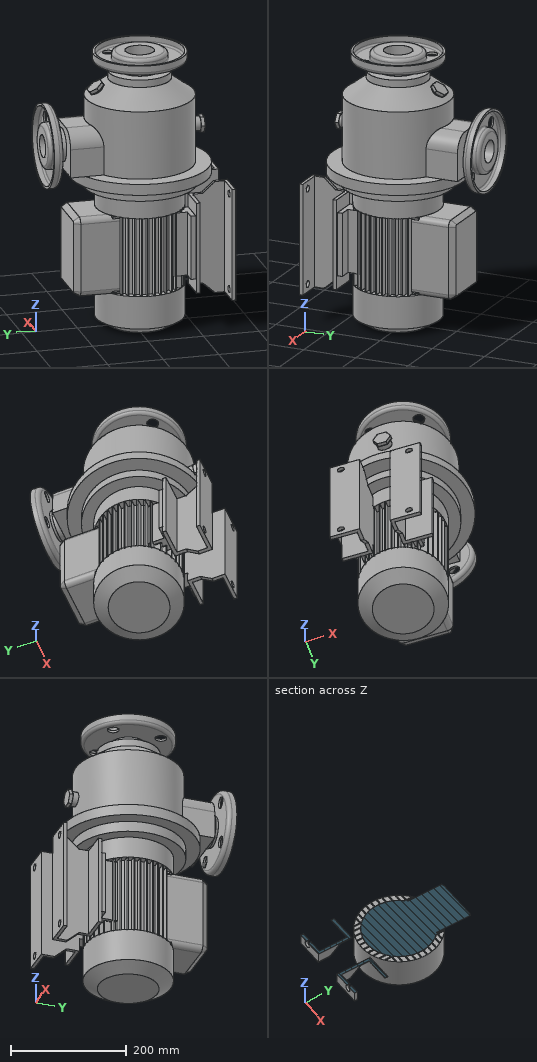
import cadquery as cq
import math


fan_cone_top_z = 15.0
fins_bottom_z = 74.5
fins_top_z = 218.0
motor_flange_bottom_z = 257.5
joint_z = 277.0
casing_bottom_z = 297.0
shoulder_z = 421.0
collar_bottom_z = 451.5
collar_top_z = 465.0
inlet_face_z = 500.0

motor_diameter = 158.0
motor_radius = motor_diameter / 2
fan_end_radius = 53.5
core_radius = 66.5
motor_flange_radius = 100.0

fin_thickness = 2.0
first_fin = 6.0
fin_pitch = 11.0
edge_fin = 48.0
fin_offsets = [first_fin + i * fin_pitch for i in range(4)] + [edge_fin]

box_width = 100.0
box_inner_y = 48.0
box_outer_y = 131.0
box_bottom_z = 73.0
box_top_z = 218.5
box_corner_radius = 10.5
box_chamfer_depth = 11.0
box_chamfer_inset = 7.0

foot_base_y = -79.5
foot_plate_thickness = 9.0
foot_plate_outer_x = 78.0
foot_block_outer_x = 55.0
foot_bottom_z = 98.5
foot_top_z = 215.0

bracket_thickness = 6.5
bracket_outer_x = 83.0
bracket_inner_x = 28.0
bracket_back_y = -150.5
bracket_mid_z = 157.0
bracket_tall_half = 102.0
bracket_short_half = 82.5
bracket_slope_start_y = -103.5
bracket_slope_end_y = -126.0
bracket_hole_radius = 6.0
bracket_hole_x = 62.5
bracket_hole_half_spacing = 87.5

pump_flange_diameter = 250.0
pump_flange_radius = pump_flange_diameter / 2
casing_radius = 97.0
collar_radius = 55.5

outlet_z = 340.0
outlet_block_half_width = 55.5
outlet_block_top_z = 379.5
outlet_block_corner_radius = 30.5
outlet_block_y = 140.0
outlet_face_y = 174.0

hub_rise = 1.0
hub_edge_radius = 6.5
hub_root_radius = 1.0
rim_thickness = 4.5
rim_root_radius = 3.5
recess_depth = 13.5
bolt_hole_radius = 10.0
bolt_count = 4
first_bolt_angle = 45

plug_across_flats = 28.0
plug_head_height = 7.0
plug_shank_radius = 13.0
plug_embed = 10.0
drain_z = 356.5
drain_shank_length = 10.0
vent_shank_length = 1.5


def box_between(x0, x1, y0, y1, z0, z1):
    return cq.Workplane("XY").box(x1 - x0, y1 - y0, z1 - z0, centered=False).translate((x0, y0, z0))


def revolve_about_z(profile):
    return profile.close().revolve(360, (0, 0, 0), (0, 1, 0))


def arc_mid(center_x, center_z, radius, angle):
    a = math.radians(angle)
    return center_x + radius * math.cos(a), center_z + radius * math.sin(a)


def pipe_flange(radius, thickness, edge_radius, hub_radius, neck):
    """Dished flange and neck about Z, rim face at Z = 0 and neck pointing down.

    `neck` lists (radius, z) from the flange underside down to the neck's foot.
    """
    rim_inner = radius - rim_thickness
    hub_flat = hub_radius - hub_edge_radius
    hub_edge_z = hub_rise - hub_edge_radius
    rim_root_x = rim_inner - rim_root_radius
    rim_root_z = -recess_depth + rim_root_radius
    hub_root_x = hub_radius + hub_root_radius
    hub_root_z = -recess_depth + hub_root_radius
    edge_x = radius - edge_radius
    edge_z = -thickness + edge_radius
    profile = (
        cq.Workplane("XZ")
        .moveTo(0, hub_rise)
        .lineTo(hub_flat, hub_rise)
        .threePointArc(arc_mid(hub_flat, hub_edge_z, hub_edge_radius, 45), (hub_radius, hub_edge_z))
        .lineTo(hub_radius, hub_root_z)
        .threePointArc(arc_mid(hub_root_x, hub_root_z, hub_root_radius, 225), (hub_root_x, -recess_depth))
        .lineTo(rim_root_x, -recess_depth)
        .threePointArc(arc_mid(rim_root_x, rim_root_z, rim_root_radius, -45), (rim_inner, rim_root_z))
        .lineTo(rim_inner, 0)
        .lineTo(radius, 0)
        .lineTo(radius, edge_z)
        .threePointArc(arc_mid(edge_x, edge_z, edge_radius, -45), (edge_x, -thickness))
    )
    for point in neck:
        profile = profile.lineTo(*point)
    return revolve_about_z(profile.lineTo(0, neck[-1][1]))


def pipe_flange_cuts(bore_radius, bore_depth, bolt_circle_radius, thickness):
    """Bore and bolt holes of a pipe flange whose rim face is at Z = 0."""
    bore = cq.Workplane("XY").workplane(offset=-bore_depth).circle(bore_radius).extrude(bore_depth + hub_rise)
    holes = (
        cq.Workplane("XY")
        .workplane(offset=-thickness)
        .polarArray(bolt_circle_radius, first_bolt_angle, 360, bolt_count)
        .circle(bolt_hole_radius)
        .extrude(thickness)
    )
    return bore.union(holes)


def screw_plug(shank_length):
    """Hexagon plug about Z, seated at Z = 0 with its shank running on below."""
    across_corners = plug_across_flats / math.cos(math.radians(30))
    shank = (
        cq.Workplane("XY")
        .workplane(offset=-plug_embed)
        .circle(plug_shank_radius)
        .extrude(plug_embed + shank_length)
    )
    head = (
        cq.Workplane("XY")
        .workplane(offset=shank_length)
        .polygon(6, across_corners)
        .extrude(plug_head_height)
    )
    return shank.union(head)


def inlet_parts():
    flange_radius = 82.5
    thickness = 18.0
    edge_radius = 6.0
    hub_radius = 49.0
    bore_radius = 25.5
    bore_depth = inlet_face_z - collar_bottom_z
    bolt_circle_radius = 62.5
    neck_shoulder_z = 472.5
    neck_radius = 35.0
    neck_throat_radius = 31.5
    neck = [
        (neck_throat_radius, -thickness),
        (neck_radius, neck_shoulder_z - inlet_face_z),
        (neck_radius, collar_top_z - inlet_face_z),
    ]
    body = pipe_flange(flange_radius, thickness, edge_radius, hub_radius, neck)
    cuts = pipe_flange_cuts(bore_radius, bore_depth, bolt_circle_radius, thickness)
    place = (0, 0, inlet_face_z)
    return body.translate(place), cuts.translate(place)


def outlet_parts():
    flange_radius = 75.0
    thickness = 17.0
    edge_radius = 7.5
    hub_radius = 41.5
    bore_radius = 20.0
    bore_depth = outlet_face_y - outlet_block_y
    bolt_circle_radius = 55.0
    neck_shoulder_y = 152.0
    neck_radius = 30.0
    neck_throat_radius = 28.0
    neck = [
        (neck_throat_radius, -thickness),
        (neck_radius, neck_shoulder_y - outlet_face_y),
        (neck_radius, outlet_block_y - outlet_face_y),
    ]
    body = pipe_flange(flange_radius, thickness, edge_radius, hub_radius, neck)
    cuts = pipe_flange_cuts(bore_radius, bore_depth, bolt_circle_radius, thickness)
    place = (0, outlet_face_y, outlet_z)
    return [part.rotate((0, 0, 0), (1, 0, 0), -90).translate(place) for part in (body, cuts)]


def outlet_block():
    half = outlet_block_half_width
    block = box_between(-half, half, 0, outlet_block_y, casing_bottom_z, outlet_block_top_z)
    return block.edges("|Y and >Z").fillet(outlet_block_corner_radius)


def drain_plug():
    seat = (0, -casing_radius, drain_z)
    return screw_plug(drain_shank_length).rotate((0, 0, 0), (1, 0, 0), 90).translate(seat)


def vent_plug():
    """Plug standing square on the middle of the casing's conical shoulder."""
    rise = collar_bottom_z - shoulder_z
    run = casing_radius - collar_radius
    tilt = math.degrees(math.atan2(rise, run))
    seat = (0, (casing_radius + collar_radius) / 2, (shoulder_z + collar_bottom_z) / 2)
    return screw_plug(vent_shank_length).rotate((0, 0, 0), (1, 0, 0), -tilt).translate(seat)


def make_pump():
    casing = revolve_about_z(
        cq.Workplane("XZ")
        .moveTo(0, joint_z)
        .lineTo(pump_flange_radius, joint_z)
        .lineTo(pump_flange_radius, casing_bottom_z)
        .lineTo(casing_radius, casing_bottom_z)
        .lineTo(casing_radius, shoulder_z)
        .lineTo(collar_radius, collar_bottom_z)
        .lineTo(collar_radius, collar_top_z)
        .lineTo(0, collar_top_z)
    )
    inlet, inlet_cuts = inlet_parts()
    outlet, outlet_cuts = outlet_parts()
    body = casing.union(outlet_block()).union(inlet).union(outlet)
    body = body.union(drain_plug()).union(vent_plug())
    return body.cut(inlet_cuts).cut(outlet_cuts)


def motor_frame():
    return revolve_about_z(
        cq.Workplane("XZ")
        .moveTo(0, 0)
        .lineTo(fan_end_radius, 0)
        .lineTo(motor_radius, fan_cone_top_z)
        .lineTo(motor_radius, fins_bottom_z)
        .lineTo(core_radius, fins_bottom_z)
        .lineTo(core_radius, fins_top_z)
        .lineTo(motor_radius, fins_top_z)
        .lineTo(motor_radius, motor_flange_bottom_z)
        .lineTo(motor_flange_radius, motor_flange_bottom_z)
        .lineTo(motor_flange_radius, joint_z)
        .lineTo(0, joint_z)
    )


def cooling_fins():
    """Thin plates parallel to X and to Y, trimmed to the motor's round outline."""
    height = fins_top_z - fins_bottom_z
    outline = cq.Workplane("XY").workplane(offset=fins_bottom_z).circle(motor_radius).extrude(height)
    plates = cq.Workplane("XY")
    for offset in fin_offsets:
        for side in (-offset, offset):
            low = side - fin_thickness / 2
            high = side + fin_thickness / 2
            plates = plates.union(
                box_between(-motor_radius, motor_radius, low, high, fins_bottom_z, fins_top_z)
            )
            plates = plates.union(
                box_between(low, high, -motor_radius, motor_radius, fins_bottom_z, fins_top_z)
            )
    return plates.intersect(outline)


def terminal_box():
    return (
        box_between(-box_width / 2, box_width / 2, box_inner_y, box_outer_y, box_bottom_z, box_top_z)
        .edges("|Y")
        .fillet(box_corner_radius)
        .faces(">Y")
        .chamfer(box_chamfer_inset, box_chamfer_depth)
    )


def right_foot():
    plate_top_y = foot_base_y + foot_plate_thickness
    plate = box_between(
        bracket_inner_x, foot_plate_outer_x, foot_base_y, plate_top_y, foot_bottom_z, foot_top_z
    )
    block = box_between(bracket_inner_x, foot_block_outer_x, plate_top_y, 0, foot_bottom_z, foot_top_z)
    return plate.union(block)


def right_bracket():
    front_y = foot_base_y - bracket_thickness
    back_y = bracket_back_y + bracket_thickness
    web_x = bracket_inner_x + bracket_thickness
    short_bottom = bracket_mid_z - bracket_short_half
    short_top = bracket_mid_z + bracket_short_half
    tall_bottom = bracket_mid_z - bracket_tall_half
    tall_top = bracket_mid_z + bracket_tall_half
    web = (
        cq.Workplane("YZ")
        .workplane(offset=bracket_inner_x)
        .polyline(
            [
                (foot_base_y, short_bottom),
                (bracket_slope_start_y, short_bottom),
                (bracket_slope_end_y, tall_bottom),
                (bracket_back_y, tall_bottom),
                (bracket_back_y, tall_top),
                (bracket_slope_end_y, tall_top),
                (bracket_slope_start_y, short_top),
                (foot_base_y, short_top),
            ]
        )
        .close()
        .extrude(bracket_thickness)
    )
    foot_leg = box_between(web_x, bracket_outer_x, front_y, foot_base_y, short_bottom, short_top)
    wall_leg = box_between(web_x, bracket_outer_x, bracket_back_y, back_y, tall_bottom, tall_top)
    holes = (
        cq.Workplane("XZ", origin=(bracket_hole_x, back_y, bracket_mid_z))
        .pushPoints([(0, -bracket_hole_half_spacing), (0, bracket_hole_half_spacing)])
        .circle(bracket_hole_radius)
        .extrude(bracket_thickness)
    )
    return web.union(foot_leg).union(wall_leg).cut(holes)


def make_motor():
    body = motor_frame().union(cooling_fins()).union(terminal_box())
    support = right_foot().union(right_bracket())
    return body.union(support).union(support.mirror("YZ"))


pump = make_pump()
motor = make_motor()

result = cq.Compound.makeCompound([pump.solids().val(), motor.solids().val()])